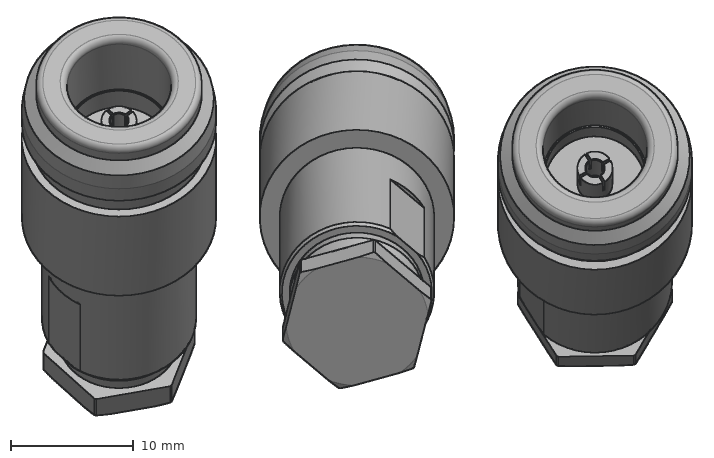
import cadquery as cq
import math

total_height = 38.22
nut_top = 2.45
neck_top = 3.67
neck_collar_top = 5.2
barrel_bottom = neck_collar_top
sleeve_bottom = 19.45
sleeve_top = 30.45
groove_top = 31.95
coupling_band_top = 34.35
coupling_taper_top = 35.9
rim_bottom = 36.65

sleeve_radius = 7.93
groove_radius = 7.22
taper_top_radius = 7.72
rim_radius = 6.75
barrel_radius = 6.3
neck_radius = 4.93
neck_collar_radius = 5.5
rim_fillet = 0.55
barrel_chamfer_height = 0.35
barrel_chamfer_width = 0.2

nut_across_flats = 11.0
nut_bottom_radius = 5.8
nut_chamfer_height = 0.15
flat_width = 3.82
flat_top = 14.8

bore_radius = 4.25
bore_mouth_fillet = 0.57
bore_step_depth = 6.88
inner_bore_radius = 4.1
bore_depth = 9.17
contact_radius = 1.435
contact_tip_depth = 5.35
contact_hole_radius = 0.73
contact_hole_chamfer = 0.08
slot_width = 0.2


def cylinder(radius, bottom, top):
    return cq.Workplane("XY").workplane(offset=bottom).circle(radius).extrude(top - bottom)


def make_body():
    """Revolved outside of the connector, from the neck up to the rim."""
    neck_chamfer = neck_collar_radius - neck_radius
    groove_chamfer = sleeve_radius - groove_radius
    arc_reach = rim_fillet * math.sqrt(0.5)
    rim_arc_middle = (rim_radius - rim_fillet + arc_reach, total_height - rim_fillet + arc_reach)
    return (
        cq.Workplane("XZ")
        .moveTo(0, nut_top)
        .lineTo(neck_radius, nut_top)
        .lineTo(neck_radius, neck_top)
        .lineTo(neck_collar_radius, neck_top + neck_chamfer)
        .lineTo(neck_collar_radius, neck_collar_top)
        .lineTo(barrel_radius - barrel_chamfer_width, barrel_bottom)
        .lineTo(barrel_radius, barrel_bottom + barrel_chamfer_height)
        .lineTo(barrel_radius, sleeve_bottom)
        .lineTo(sleeve_radius, sleeve_bottom)
        .lineTo(sleeve_radius, sleeve_top)
        .lineTo(groove_radius, sleeve_top)
        .lineTo(groove_radius, groove_top)
        .lineTo(sleeve_radius, groove_top + groove_chamfer)
        .lineTo(sleeve_radius, coupling_band_top)
        .lineTo(taper_top_radius, coupling_taper_top)
        .lineTo(rim_radius, rim_bottom)
        .lineTo(rim_radius, total_height - rim_fillet)
        .threePointArc(rim_arc_middle, (rim_radius - rim_fillet, total_height))
        .lineTo(0, total_height)
        .close()
        .revolve(360, (0, 0), (0, 1))
    )


def make_nut():
    """Hexagon with rounded corners and a conical lower chamfer."""
    across_corners = nut_across_flats / math.cos(math.pi / 6)
    hexagon = cq.Workplane("XY").polygon(6, across_corners).extrude(nut_top)
    corner_envelope = (
        cylinder(barrel_radius, 0, nut_top)
        .faces("<Z")
        .chamfer(nut_chamfer_height, barrel_radius - nut_bottom_radius)
    )
    return hexagon.intersect(corner_envelope)


def cut_wrench_flats(body):
    """Two opposite flats on the barrel, facing -Y and +Y."""
    flat_distance = math.sqrt(barrel_radius**2 - (flat_width / 2) ** 2)
    flat_height = flat_top - barrel_bottom
    for side in (-1, 1):
        cutter = (
            cq.Workplane("XY")
            .box(2 * barrel_radius, barrel_radius, flat_height, centered=(True, True, False))
            .translate((0, side * (flat_distance + barrel_radius / 2), barrel_bottom))
        )
        body = body.cut(cutter)
    return body


def cut_socket(body):
    """Stepped bore with a rounded mouth."""
    step_height = total_height - bore_step_depth
    body = body.cut(cylinder(bore_radius, step_height, total_height))
    mouth = cq.selectors.RadiusNthSelector(0)
    body = body.faces(">Z").edges(mouth).fillet(bore_mouth_fillet)
    return body.cut(cylinder(inner_bore_radius, total_height - bore_depth, step_height))


def make_contact():
    """Hollow central contact split by two crossed slots."""
    floor = total_height - bore_depth
    tip = total_height - contact_tip_depth
    contact = cylinder(contact_radius, floor, tip).cut(cylinder(contact_hole_radius, floor, tip))
    mouth = cq.selectors.RadiusNthSelector(0)
    contact = contact.faces(">Z").edges(mouth).chamfer(contact_hole_chamfer)
    slot_bottom = (floor + tip) / 2
    for angle in (0, 90):
        slot = (
            cq.Workplane("XY")
            .box(2 * contact_radius, slot_width, tip - slot_bottom, centered=(True, True, False))
            .translate((0, 0, slot_bottom))
            .rotate((0, 0, 0), (0, 0, 1), angle)
        )
        contact = contact.cut(slot)
    return contact


shell = cut_socket(cut_wrench_flats(make_body()))
result = shell.union(make_nut()).union(make_contact())